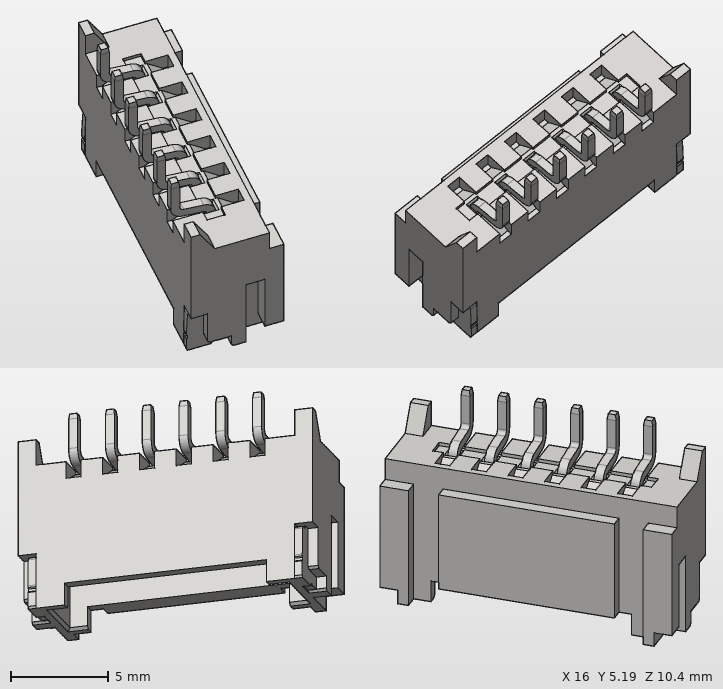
import cadquery as cq
import math


length = 16.0
half_length = length / 2
depth = 5.14
body_depth = 4.34
body_height = 7.85
end_width = 0.98
end_inner_x = half_length - end_width

ledge_height = 6.65
corner_ledge_width = 1.57
centre_ledge_width = 9.63
centre_ledge_y = 5.04

ear_top = 9.25
ear_top_depth = 0.5
ear_root_depth = 1.31

wall = 0.6
cavity_length = length - 2 * corner_ledge_width
cavity_depth = body_depth - 2 * wall
cavity_height = 4.8
mouth_chamfer = 0.16
gap_length = 10.98
gap_height = 1.2

end_slot_front = 3.04
end_slot_back = 4.08
end_slot_height = 4.38
foot_height = 0.78

pin_count = 6
pin_pitch = 2.0
pin_size = 0.5
pin_xs = [(i - (pin_count - 1) / 2) * pin_pitch for i in range(pin_count)]

pin_front = -0.05
pin_back = 2.43
pin_top = 10.45
pin_leg_depth = 1.0
tip_height = 0.3
tip_inset = 0.05
arm_tilt = math.radians(6)
arm_top_at_front = 8.32
bend_inner = 0.24
bend_outer = bend_inner + pin_size

channel_length = 12.0
channel_front = 1.66
channel_back = 2.67
channel_depth = 0.2
channel_floor = body_height - channel_depth
pin_slot_width = 0.82
pin_slot_back = 3.94
pin_slot_floor = 6.95
front_ramp_bottom = 0.27
front_ramp_top = 1.52
back_ramp_top = 2.78
back_ramp_bottom = 3.66
funnel_size = 0.78
funnel_y = 2.16
funnel_depth = 0.16

recess_height = 3.0
recess_upper_depth = 0.91
recess_lower_depth = 2.22
recess_edge = 0.13
clip_width = 0.43
clip_front = pin_front
clip_inset = 0.02
clip_top = 2.85
clip_top_radius = 0.15
clip_belly = 1.26
groove_top = 1.17
groove_bottom = 0.9
groove_slope = 0.06
clip_toe = 0.13
clip_arm_bottom = 0.11
clip_lip_front = 0.37
clip_lip_back = 0.51
clip_heel_y = 1.3
clip_heel_run = 0.13
clip_heel_rise = 0.13
clip_dimple_y = 1.5
clip_dimple_height = 0.18
clip_dimple_run = 0.08


def block(x0, x1, y0, y1, z0, z1):
    return cq.Workplane("XY").box(x1 - x0, y1 - y0, z1 - z0, centered=False).translate((x0, y0, z0))


def side_prism(points, x0, width):
    """Extrude a closed (y, z) outline along +X from x0."""
    return cq.Workplane("YZ").polyline(points).close().extrude(width).translate((x0, 0, 0))


def round_edge(prism, corner, mid_x, radius):
    """Round the edge along X that passes through the (y, z) corner."""
    edge = prism.edges("|X").edges(cq.selectors.NearestToPointSelector((mid_x, *corner)))
    return edge.fillet(radius)


def both_ends(left):
    return left.union(left.mirror("YZ"))


def make_housing():
    body = block(-half_length, half_length, 0, body_depth, 0, body_height)
    half_centre = centre_ledge_width / 2
    body = body.union(block(-half_centre, half_centre, body_depth, centre_ledge_y, 0, ledge_height))
    corner = block(-half_length, -half_length + corner_ledge_width, body_depth, depth, 0, ledge_height)
    ear = side_prism(
        [(0, body_height), (0, ear_top), (ear_top_depth, ear_top), (ear_root_depth, body_height)],
        -half_length,
        end_width,
    )
    return body.union(both_ends(corner)).union(both_ends(ear))


def make_cavity():
    """Bottom-opening cavity with a chamfered mouth and a gap through the front and rear walls."""
    mid_y = wall + cavity_depth / 2
    cavity = cq.Workplane("XY").center(0, mid_y).rect(cavity_length, cavity_depth).extrude(cavity_height)
    mouth = (
        cq.Workplane("XY")
        .center(0, mid_y)
        .rect(cavity_length + 2 * mouth_chamfer, cavity_depth + 2 * mouth_chamfer)
        .extrude(mouth_chamfer, taper=45)
    )
    half_gap = gap_length / 2
    gap = block(-half_gap, half_gap, 0, depth, 0, gap_height)
    return cavity.union(mouth).union(gap)


def make_end_slot():
    """Upright slot in the left end face that turns to the back along the bottom."""
    outline = [
        (end_slot_front, 0),
        (end_slot_front, end_slot_height),
        (end_slot_back, end_slot_height),
        (end_slot_back, foot_height),
        (depth, foot_height),
        (depth, 0),
    ]
    return side_prism(outline, -half_length, end_width)


def make_clip_recess():
    """L-shaped recess at the left front corner, with a broken inner corner and a flared foot."""
    outline = [
        (0, 0),
        (0, recess_height),
        (recess_upper_depth, recess_height),
        (recess_upper_depth, foot_height + recess_edge),
        (recess_upper_depth + recess_edge, foot_height),
        (recess_lower_depth, foot_height),
        (recess_lower_depth, recess_edge),
        (recess_lower_depth + recess_edge, 0),
    ]
    return side_prism(outline, -half_length, end_width)


def make_clip():
    """Flat L-shaped clip against the inner wall of the left recess."""
    top_corner = (clip_inset, clip_top)
    outline = [
        (clip_inset, 0),
        (clip_front, clip_toe),
        (clip_front, groove_bottom),
        (clip_inset, groove_bottom + groove_slope),
        (clip_inset, groove_top - groove_slope),
        (clip_front, groove_top),
        (clip_front, clip_belly),
        top_corner,
        (clip_lip_front, clip_top),
        (clip_lip_back, recess_height),
        (recess_upper_depth, recess_height),
        (recess_upper_depth, foot_height + recess_edge),
        (recess_upper_depth + recess_edge, foot_height),
        (recess_lower_depth, foot_height),
        (recess_lower_depth, clip_arm_bottom),
        (clip_dimple_y + clip_dimple_run, clip_arm_bottom),
        (clip_dimple_y, clip_dimple_height),
        (clip_heel_y + clip_heel_run, clip_heel_rise),
        (clip_heel_y, 0),
    ]
    clip = side_prism(outline, -end_inner_x - clip_width, clip_width)
    return round_edge(clip, top_corner, -end_inner_x - clip_width / 2, clip_top_radius)


def make_pin_channel():
    """Cross channel plus one slot per pin whose floor ramps up to the channel from both sides."""
    half_channel = channel_length / 2
    channel = block(-half_channel, half_channel, channel_front, channel_back, channel_floor, body_height)
    slot_outline = [
        (0, body_height),
        (0, pin_slot_floor),
        (front_ramp_bottom, pin_slot_floor),
        (front_ramp_top, channel_floor),
        (back_ramp_top, channel_floor),
        (back_ramp_bottom, pin_slot_floor),
        (pin_slot_back, pin_slot_floor),
        (pin_slot_back, body_height),
    ]
    funnel_taper = math.degrees(math.atan((funnel_size - pin_size) / 2 / funnel_depth))
    for x in pin_xs:
        channel = channel.union(side_prism(slot_outline, x - pin_slot_width / 2, pin_slot_width))
        funnel = (
            cq.Workplane("XY", origin=(x, funnel_y, channel_floor))
            .rect(funnel_size, funnel_size)
            .extrude(-funnel_depth, taper=funnel_taper)
        )
        channel = channel.union(funnel)
    return channel


def make_pin():
    """Upright with a tapered tip, a slightly tilted arm and a leg set into the housing."""
    upright_back = pin_front + pin_size
    leg_front = pin_back - pin_size
    leg_bottom = channel_floor - pin_leg_depth
    arm_drop = pin_size / math.cos(arm_tilt)

    def arm_top(y):
        return arm_top_at_front - (y - upright_back) * math.tan(arm_tilt)

    upright_outer = (pin_front, arm_top(pin_front) - arm_drop)
    upright_inner = (upright_back, arm_top(upright_back))
    leg_outer = (pin_back, arm_top(pin_back))
    leg_inner = (leg_front, arm_top(leg_front) - arm_drop)
    shoulder = pin_top - tip_height
    outline = [
        (pin_front, shoulder),
        upright_outer,
        leg_inner,
        (leg_front, leg_bottom),
        (pin_back, leg_bottom),
        leg_outer,
        upright_inner,
        (upright_back, shoulder),
    ]
    pin = side_prism(outline, -pin_size / 2, pin_size)
    bends = [
        (upright_outer, bend_outer),
        (upright_inner, bend_inner),
        (leg_outer, bend_outer),
        (leg_inner, bend_inner),
    ]
    for corner, radius in bends:
        pin = round_edge(pin, corner, 0, radius)
    tip_taper = math.degrees(math.atan(tip_inset / tip_height))
    tip = (
        cq.Workplane("XY", origin=(0, (pin_front + upright_back) / 2, shoulder))
        .rect(pin_size, pin_size)
        .extrude(tip_height, taper=tip_taper)
    )
    return pin.union(tip)


result = make_housing().cut(make_cavity())
result = result.cut(both_ends(make_end_slot())).cut(both_ends(make_clip_recess()))
result = result.union(both_ends(make_clip()))
result = result.cut(make_pin_channel())
pin = make_pin()
for pin_x in pin_xs:
    result = result.union(pin.translate((pin_x, 0, 0)))